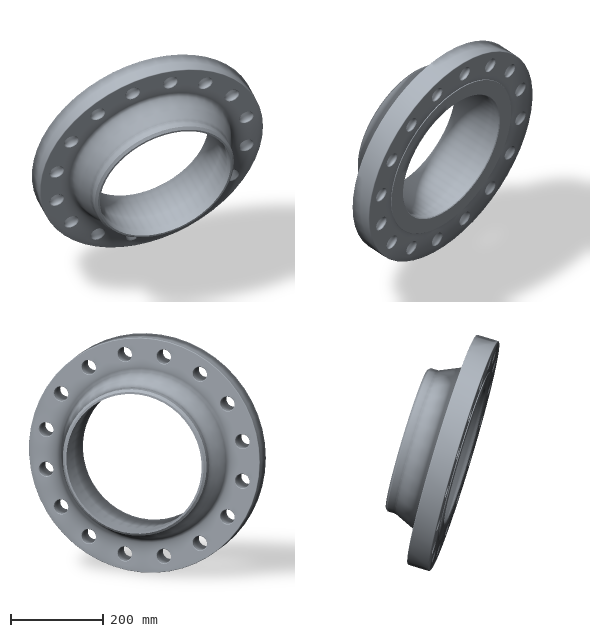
import cadquery as cq


overall_length = 131.0
raised_face_height = 1.5
flange_back_x = 51.0
neck_end_x = 108.0

flange_diameter = 520.0
raised_face_diameter = 380.5
bore_diameter = 304.5
weld_end_diameter = 324.0
neck_base_diameter = 375.0

rim_fillet = 1.5
bore_chamfer = 1.5
bolt_hole_chamfer = 1.0
raised_face_chamfer = 0.5
neck_fillet = 7.5
weld_chamfer = 5.0

bolt_count = 16
bolt_hole_diameter = 31.5
bolt_circle_diameter = 450.5
bolt_pitch = 360 / bolt_count


def disc(start_x, end_x, diameter):
    """Solid cylinder along X between two axial positions."""
    return (
        cq.Workplane("YZ", origin=(start_x, 0, 0))
        .circle(diameter / 2)
        .extrude(end_x - start_x)
    )


def flange_plate():
    """Bolting plate with rounded rim edges and a raised sealing face."""
    plate = disc(raised_face_height, flange_back_x, flange_diameter).edges().fillet(rim_fillet)
    raised_face = disc(0, flange_back_x, raised_face_diameter).faces("<X").chamfer(raised_face_chamfer)
    return plate.union(raised_face)


def tapered_neck():
    """Conical hub ending in a short chamfered weld stub."""
    profile = [
        (0, 0),
        (overall_length, 0),
        (overall_length, weld_end_diameter / 2 - weld_chamfer),
        (overall_length - weld_chamfer, weld_end_diameter / 2),
        (neck_end_x, weld_end_diameter / 2),
        (flange_back_x, neck_base_diameter / 2),
        (0, neck_base_diameter / 2),
    ]
    return cq.Workplane("XY").polyline(profile).close().revolve(360, (0, 0, 0), (1, 0, 0))


def blend_edge_at(body, axial_position, diameter):
    """Round the circular neck edge of the given place and size."""
    tolerance = 0.05
    lower = (axial_position - tolerance, -diameter, -diameter)
    upper = (axial_position + tolerance, diameter, diameter)
    neck_edges = body.edges(cq.selectors.BoxSelector(lower, upper, boundingbox=True)).filter(
        lambda edge: edge.geomType() == "CIRCLE" and abs(edge.radius() - diameter / 2) < tolerance
    )
    return neck_edges.fillet(neck_fillet)


def bolt_holes():
    """Bolt hole cutters, widened by a small chamfer at both faces of the plate."""
    radius = bolt_hole_diameter / 2
    wide_radius = radius + bolt_hole_chamfer
    profile = [
        (raised_face_height, 0),
        (raised_face_height, wide_radius),
        (raised_face_height + bolt_hole_chamfer, radius),
        (flange_back_x - bolt_hole_chamfer, radius),
        (flange_back_x, wide_radius),
        (flange_back_x, 0),
    ]
    cutter = cq.Workplane("XY").polyline(profile).close().revolve(360, (0, 0, 0), (1, 0, 0))
    cutter = cutter.translate((0, bolt_circle_diameter / 2, 0))
    cutters = cq.Workplane("XY")
    for index in range(bolt_count):
        angle = (index + 0.5) * bolt_pitch
        cutters = cutters.add(cutter.rotate((0, 0, 0), (1, 0, 0), angle))
    return cutters.combine()


def chamfer_bore_entry(body):
    """Break the bore edge at the sealing face."""
    bore_edge = body.faces("<X").edges(cq.selectors.RadiusNthSelector(0))
    return bore_edge.chamfer(bore_chamfer)


body = flange_plate().union(tapered_neck())
body = blend_edge_at(body, flange_back_x, neck_base_diameter)
body = blend_edge_at(body, neck_end_x, weld_end_diameter)
body = body.cut(disc(0, overall_length, bore_diameter)).cut(bolt_holes())
result = chamfer_bore_entry(body)